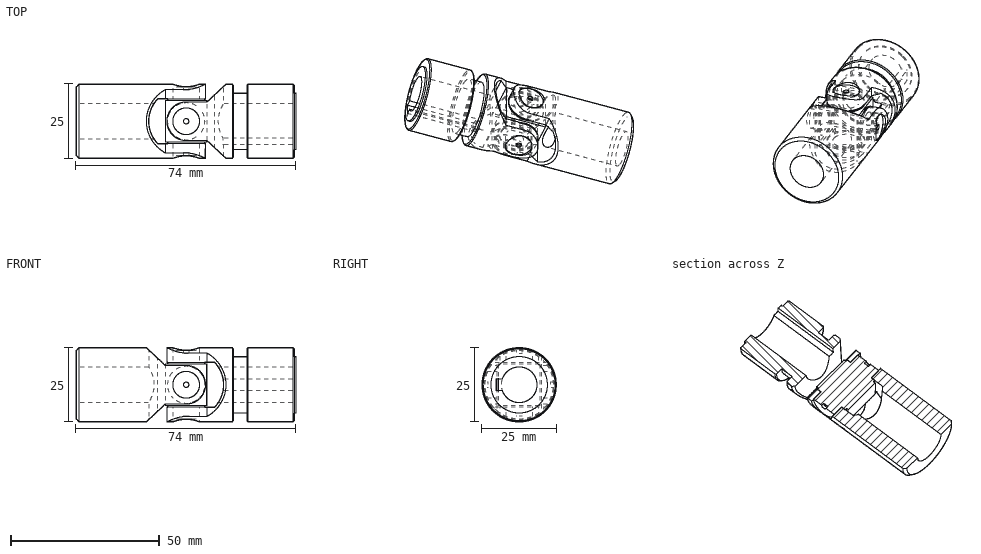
import cadquery as cq


HALF_LENGTH = 37.0
BODY_DIAMETER = 25.0
BODY_RADIUS = BODY_DIAMETER / 2
BORE_DIAMETER = 12.0
END_CHAMFER = 1.0

BLOCK_SIZE = 14.0
WASHER_DIAMETER = 12.5
WASHER_THICKNESS = 0.5
PIN_DIAMETER = 9.0
PIN_REACH = 11.5
CENTRE_HOLE_DIAMETER = 1.8
CENTRE_HOLE_DEPTH = 1.0

ARM_INNER_FACE = BLOCK_SIZE / 2 + WASHER_THICKNESS
ARM_HALF_WIDTH = 6.5
ARM_STRAIGHT_LENGTH = BLOCK_SIZE / 2
SHOULDER_RUN = 6.4
SHOULDER_START = ARM_STRAIGHT_LENGTH + SHOULDER_RUN

GAP_FLOOR_REACH = 12.55
GAP_FLOOR_RADIUS = 11.0
GAP_FLOOR_CENTRE = GAP_FLOOR_REACH - GAP_FLOOR_RADIUS

NECK_DIAMETER = 19.0
NECK_START = 15.9
NECK_LENGTH = 4.5
NECK_END = NECK_START + NECK_LENGTH
COLLAR_LENGTH = 16.0
COLLAR_END = NECK_END + COLLAR_LENGTH
COLLAR_CHAMFER = 0.4

KEYWAY_WIDTH = 4.0
KEYWAY_DEPTH = 1.8


def cylinder_x(start, end, diameter):
    """Cylinder on the X axis between two X positions."""
    return cq.Workplane("YZ", origin=(start, 0, 0)).circle(diameter / 2).extrude(end - start)


def shoulder_outline(length):
    """Side outline of a fork: shaft, sloping shoulders and a rounded arm end."""
    return (
        cq.Workplane("XZ")
        .moveTo(-length, BODY_RADIUS)
        .lineTo(-SHOULDER_START, BODY_RADIUS)
        .lineTo(-ARM_STRAIGHT_LENGTH, ARM_HALF_WIDTH)
        .lineTo(0, ARM_HALF_WIDTH)
        .threePointArc((ARM_HALF_WIDTH, 0), (0, -ARM_HALF_WIDTH))
        .lineTo(-ARM_STRAIGHT_LENGTH, -ARM_HALF_WIDTH)
        .lineTo(-SHOULDER_START, -BODY_RADIUS)
        .lineTo(-length, -BODY_RADIUS)
        .close()
        .extrude(BODY_RADIUS, both=True)
    )


def arm_gap():
    """Space between the arms, open towards +X, with a rounded floor."""
    length = BODY_RADIUS + GAP_FLOOR_REACH
    slot = (
        cq.Workplane("XY")
        .box(length, 2 * ARM_INNER_FACE, BODY_DIAMETER)
        .translate((length / 2 - GAP_FLOOR_REACH, 0, 0))
    )
    floor = (
        cq.Workplane("XY", origin=(-GAP_FLOOR_CENTRE, 0, -BODY_RADIUS))
        .circle(GAP_FLOOR_RADIUS)
        .extrude(BODY_DIAMETER)
    )
    opening = (
        cq.Workplane("XY")
        .box(length, 2 * ARM_INNER_FACE, BODY_DIAMETER)
        .translate((length / 2 - GAP_FLOOR_CENTRE, 0, 0))
    )
    return slot.intersect(floor.union(opening))


def make_fork(blank, length):
    """Cut the arms, the gap, the pin holes and the bore into a turned blank."""
    pin_holes = cq.Workplane("XZ").circle(PIN_DIAMETER / 2).extrude(BODY_RADIUS, both=True)
    bore = cylinder_x(-length, 0, BORE_DIAMETER)
    return blank.intersect(shoulder_outline(length)).cut(arm_gap()).cut(pin_holes).cut(bore)


def make_plain_fork():
    blank = cylinder_x(-HALF_LENGTH, BODY_RADIUS, BODY_DIAMETER).faces("<X").chamfer(END_CHAMFER)
    return make_fork(blank, HALF_LENGTH)


def keyway():
    """Slot along the +Z side of the bore, running from the shaft end into the gap."""
    height = BORE_DIAMETER / 2 + KEYWAY_DEPTH
    return (
        cq.Workplane("XY")
        .box(HALF_LENGTH, KEYWAY_WIDTH, height)
        .translate((-HALF_LENGTH / 2, 0, height / 2))
    )


def make_collar_fork():
    """Fork with a necked collar, turned so that its arms lie at +Z and -Z."""
    head = cylinder_x(-NECK_START, BODY_RADIUS, BODY_DIAMETER).faces("<X").chamfer(COLLAR_CHAMFER)
    neck = cylinder_x(-HALF_LENGTH, -NECK_START, NECK_DIAMETER)
    collar = cylinder_x(-COLLAR_END, -NECK_END, BODY_DIAMETER).faces("<X or >X").chamfer(COLLAR_CHAMFER)
    fork = make_fork(head.union(neck).union(collar), HALF_LENGTH).cut(keyway())
    return fork.rotate((0, 0, 0), (0, 0, 1), 180).rotate((0, 0, 0), (1, 0, 0), 90)


def make_cross():
    """Square block with a washer face and a pin on each of its four sides."""
    cross = cq.Workplane("XY").box(BLOCK_SIZE, BLOCK_SIZE, BLOCK_SIZE)
    for plane in ("XY", "XZ"):
        washers = cq.Workplane(plane).circle(WASHER_DIAMETER / 2).extrude(ARM_INNER_FACE, both=True)
        pins = cq.Workplane(plane).circle(PIN_DIAMETER / 2).extrude(PIN_REACH, both=True)
        cross = cross.union(washers).union(pins)
    for face in (">Y", "<Y", ">Z", "<Z"):
        cross = cross.faces(face).workplane(centerOption="CenterOfBoundBox").hole(
            CENTRE_HOLE_DIAMETER, CENTRE_HOLE_DEPTH
        )
    return cross


plain_fork = make_plain_fork()
collar_fork = make_collar_fork()
cross = make_cross()

result = cq.Compound.makeCompound([plain_fork.val(), collar_fork.val(), cross.val()])